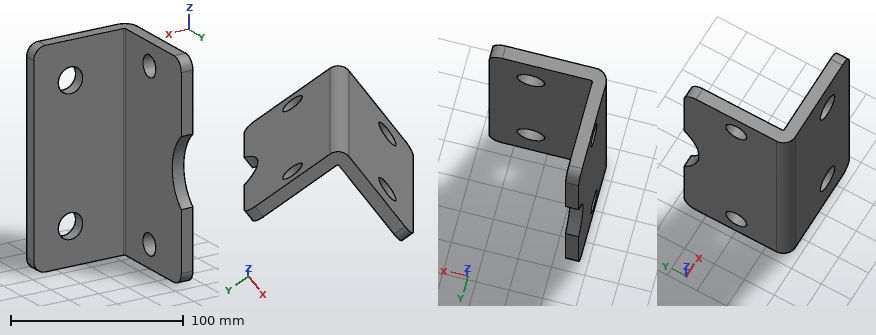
import cadquery as cq

leg_length = 70.0
height = 140.0
thickness = 8.0

bend_outer_radius = 8.0
bend_inner_radius = 1.0
corner_radius = 8.0

x_leg_hole_diameter = 16.5
x_leg_hole_offset = 45.0
x_leg_hole_spacing = 90.0

y_leg_hole_diameter = 14.0
y_leg_hole_offset = 35.0
y_leg_hole_spacing = 110.0

notch_radius = 30.5
notch_depth = 10.0

mid_height = height / 2


def make_angle():
    """L-section with its outer bend corner at the origin, extruded along Z."""
    angle = (
        cq.Workplane("XY")
        .polyline([
            (0, 0),
            (leg_length, 0),
            (leg_length, thickness),
            (thickness, thickness),
            (thickness, leg_length),
            (0, leg_length),
        ])
        .close()
        .extrude(height)
    )
    outer_bend = cq.selectors.NearestToPointSelector((0, 0, mid_height))
    inner_bend = cq.selectors.NearestToPointSelector((thickness, thickness, mid_height))
    angle = angle.edges(inner_bend).fillet(bend_inner_radius)
    angle = angle.edges(outer_bend).fillet(bend_outer_radius)
    angle = angle.faces(">X").edges("|Y").fillet(corner_radius)
    return angle.faces(">Y").edges("|X").fillet(corner_radius)


def leg_cutter(plane, across, levels, diameter):
    """Round cutters through one leg, at a distance from the bend and given heights."""
    depth = -thickness if plane == "XZ" else thickness
    return (
        cq.Workplane(plane)
        .pushPoints([(across, level) for level in levels])
        .circle(diameter / 2)
        .extrude(depth)
    )


def paired_levels(spacing):
    return [mid_height - spacing / 2, mid_height + spacing / 2]


x_leg_holes = leg_cutter("XZ", x_leg_hole_offset, paired_levels(x_leg_hole_spacing), x_leg_hole_diameter)
y_leg_holes = leg_cutter("YZ", y_leg_hole_offset, paired_levels(y_leg_hole_spacing), y_leg_hole_diameter)

notch_centre = leg_length - notch_depth + notch_radius
notch = leg_cutter("YZ", notch_centre, [mid_height], 2 * notch_radius)

result = make_angle().cut(x_leg_holes).cut(y_leg_holes).cut(notch)